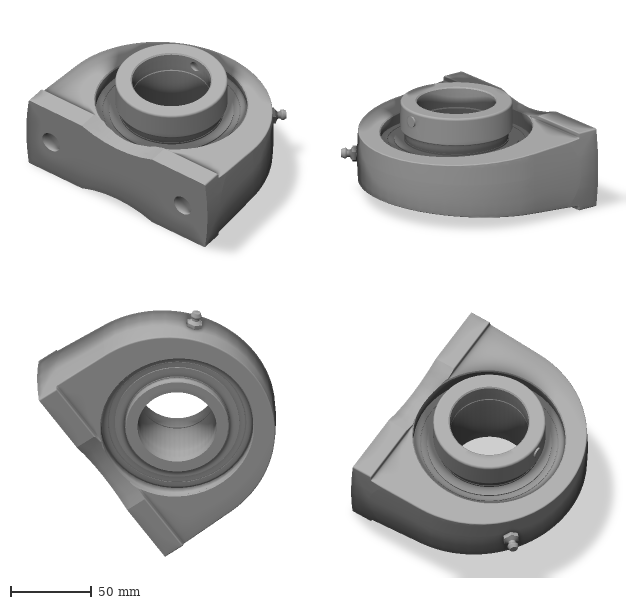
import cadquery as cq
import math


axis_height = 57.15
total_depth = 117.0
base_width = 140.0
base_height = 51.2
base_thickness = 13.6
base_side_radius = 175.0
base_corner_fillet = 1.0
base_back_fillet = 0.7
arch_radius = 69.0
arch_side_radius = 218.0
arch_edge_fillet = 0.8
flank_angle = 1.61
flank_overlap = 17.0
arch_top_height = 31.2
face_taper_angle = 3.65
step_fillet = 0.7
scallop_half_width = 27.2
scallop_depth = 5.1
bolt_spacing = 101.6
bolt_hole_diameter = 13.39
bolt_hole_depth = 22.0
drill_point_angle = 118.0
bore_diameter = 94.74
bore_chamfer = 0.75

ring_half_width = 11.9
ring_chamfer = 1.1
ring_chamfer_height = 0.4
ring_bore_diameter = 76.2
seal_outer_diameter = 86.2
seal_seat_depth = 3.0
seal_groove_width = 0.7
seal_groove_depth = 0.4
seal_step_diameter = 77.47
seal_step_height = 0.8

shaft_diameter = 49.21
shoulder_diameter = 65.28
shoulder_half_width = 13.7
inner_ring_diameter = 64.52
inner_ring_bottom = -18.7
inner_ring_chamfer = 0.6
nose_bore_chamfer = 0.9
nose_diameter = 59.38
nose_top = 24.7
collar_diameter = 69.9
collar_top = 37.79
collar_bottom = 19.8
collar_top_fillet = 1.4
collar_bottom_fillet = 0.9
collar_bore_chamfer = 0.8

screw_diameter = 6.78
screw_height = 31.4
screw_inner_end = 30.0
screw_outer_end = 36.0

nipple_angle = 45.0
nipple_shank_diameter = 6.0
nipple_inner_end = 55.0
hex_start = 62.4
hex_end = 65.0
hex_across_flats = 9.0
hex_turn = 30.0
spot_face_diameter = 10.6
nipple_cone_end = 66.6
nipple_neck_end = 68.2
nipple_neck_diameter = 4.5
nipple_head_start = 69.2
nipple_head_end = 69.9
nipple_head_diameter = 6.78
nipple_tip = 72.1
nipple_tip_diameter = 5.0

base_face_y = -axis_height
base_back_y = base_face_y + base_thickness
arch_top_y = total_depth - axis_height
arch_centre_y = arch_top_y - arch_radius
half_height = base_height / 2
half_width = base_width / 2
taper = math.radians(face_taper_angle)
half_right_angle = math.pi / 4
seat_half_width = ring_half_width - ring_chamfer_height
seat_radius = math.hypot(bore_diameter / 2, seat_half_width)


def turned(points):
    """Solid of revolution about Z from (radius, height) points."""
    return cq.Workplane("XZ").polyline(points).close().revolve(360, (0, 0, 0), (0, 1, 0))


def crown_drop(radius, height):
    """How far an arc of this radius falls back at this height from its middle."""
    return radius - math.sqrt(radius**2 - height**2)


def crowned_block():
    """Full-length block with the crowned ends and rounded corners of the base."""
    edge = half_width - crown_drop(base_side_radius, half_height)
    block = (
        cq.Workplane("XZ", origin=(0, base_face_y, 0))
        .moveTo(-edge, -half_height)
        .lineTo(edge, -half_height)
        .threePointArc((half_width, 0), (edge, half_height))
        .lineTo(-edge, half_height)
        .threePointArc((-half_width, 0), (-edge, -half_height))
        .close()
        .extrude(-total_depth)
    )
    return block.edges("|Y").fillet(base_corner_fillet)


def face_height(y):
    """Height of the tapered upper face of the arch at this distance along Y."""
    return arch_top_height / 2 + math.tan(taper) * (arch_top_y - y)


def crowned_section(plane, inner):
    """Section of the arch from `inner` out to the crowned rim."""
    edge = arch_radius - crown_drop(arch_side_radius, half_height)
    return (
        cq.Workplane(plane)
        .moveTo(inner, -half_height)
        .lineTo(edge, -half_height)
        .threePointArc((arch_radius, 0), (edge, half_height))
        .lineTo(inner, half_height)
        .close()
    )


def arch_body():
    centre = (0, arch_centre_y, 0)
    arch = crowned_section(cq.Plane.XZ(origin=centre), 0).revolve(360, (0, 0, 0), (0, 1, 0))
    angle = math.radians(flank_angle)
    flank_plane = cq.Plane(
        origin=centre,
        xDir=(math.cos(angle), math.sin(angle), 0),
        normal=(math.sin(angle), -math.cos(angle), 0),
    )
    flank = crowned_section(flank_plane, -flank_overlap).extrude(axis_height)
    outline = arch.union(flank).union(flank.mirror("YZ"))

    wedge = (
        cq.Workplane("YZ")
        .polyline([
            (base_face_y, -face_height(base_face_y)),
            (arch_top_y, -face_height(arch_top_y)),
            (arch_top_y, face_height(arch_top_y)),
            (base_face_y, face_height(base_face_y)),
        ])
        .close()
        .extrude(base_width, both=True)
    )
    body = outline.intersect(wedge)
    return body.faces("<Z or >Z").edges("not(<Y)").fillet(arch_edge_fillet)


def base_half():
    """Upper half of the base, rounded at its back and filleted into the face of the arch."""
    round_y = base_back_y - base_back_fillet
    round_z = half_height - base_back_fillet
    fillet_y = base_back_y + step_fillet
    fillet_z = face_height(fillet_y) + step_fillet / math.cos(taper)
    middle = half_right_angle + taper / 2
    fillet_middle = (fillet_y - step_fillet * math.sin(middle), fillet_z - step_fillet * math.cos(middle))
    fillet_end = (fillet_y - step_fillet * math.sin(taper), fillet_z - step_fillet * math.cos(taper))
    round_middle = (
        round_y + base_back_fillet * math.sin(half_right_angle),
        round_z + base_back_fillet * math.cos(half_right_angle),
    )
    return (
        cq.Workplane("YZ")
        .moveTo(base_face_y, 0)
        .lineTo(base_face_y, half_height)
        .lineTo(round_y, half_height)
        .threePointArc(round_middle, (base_back_y, round_z))
        .lineTo(base_back_y, fillet_z)
        .threePointArc(fillet_middle, fillet_end)
        .lineTo(base_back_y, 0)
        .close()
        .extrude(base_width, both=True)
    )


def scallop(side):
    """Shallow arc across the upper (1) or lower (-1) side of the base."""
    edge_z = side * half_height
    return (
        cq.Workplane("XZ", origin=(0, base_face_y, 0))
        .moveTo(-scallop_half_width, edge_z)
        .threePointArc((0, edge_z - side * scallop_depth), (scallop_half_width, edge_z))
        .close()
        .extrude(-base_thickness)
    )


def bolt_hole(x):
    radius = bolt_hole_diameter / 2
    point_depth = radius / math.tan(math.radians(drill_point_angle / 2))
    return (
        cq.Workplane("XY")
        .polyline([
            (0, 0),
            (radius, 0),
            (radius, bolt_hole_depth),
            (0, bolt_hole_depth + point_depth),
        ])
        .close()
        .revolve(360, (0, 0, 0), (0, 1, 0))
        .translate((x, base_face_y, 0))
    )


def bore_mouth():
    """Cutter for the chamfer of the bore, square to the tapered upper face."""
    radius = bore_diameter / 2
    cutter = turned([
        (0, -bore_chamfer),
        (radius, -bore_chamfer),
        (radius + bore_chamfer, 0),
        (radius + bore_chamfer, half_height),
        (0, half_height),
    ])
    cutter = cutter.rotate((0, 0, 0), (1, 0, 0), -face_taper_angle)
    return cutter.translate((0, 0, face_height(0)))


def place_nipple(shape):
    """Lay a shape built along Z on the radial line of the grease nipple."""
    return shape.rotate((0, 0, 0), (0, 1, 0), 90).rotate((0, 0, 0), (0, 0, 1), nipple_angle)


def make_housing():
    base = base_half().union(base_half().mirror("XY"))
    housing = arch_body().union(base).intersect(crowned_block())
    for side in (-1, 1):
        housing = housing.cut(scallop(side))
        housing = housing.cut(bolt_hole(side * bolt_spacing / 2))
    housing = housing.cut(cq.Workplane("XY").circle(bore_diameter / 2).extrude(half_height, both=True))
    mouth = bore_mouth()
    housing = housing.cut(mouth).cut(mouth.mirror("XY"))
    housing = housing.cut(cq.Workplane("XY").sphere(seat_radius))
    shank_hole = cq.Workplane("XY").circle(nipple_shank_diameter / 2).extrude(hex_end - nipple_inner_end)
    housing = housing.cut(place_nipple(shank_hole.translate((0, 0, nipple_inner_end))))
    spot_face = cq.Workplane("XY").circle(spot_face_diameter / 2).extrude(hex_end - hex_start)
    housing = housing.cut(place_nipple(spot_face.translate((0, 0, hex_start))))
    return housing


def make_outer_ring():
    ring = cq.Workplane("XY").sphere(seat_radius)
    face_radius = bore_diameter / 2 - ring_chamfer
    ring = ring.intersect(turned([
        (0, -ring_half_width),
        (face_radius, -ring_half_width),
        (bore_diameter / 2, -seat_half_width),
        (seat_radius + ring_chamfer, -seat_half_width),
        (seat_radius + ring_chamfer, seat_half_width),
        (bore_diameter / 2, seat_half_width),
        (face_radius, ring_half_width),
        (0, ring_half_width),
    ]))
    ring = ring.cut(cq.Workplane("XY").circle(ring_bore_diameter / 2).extrude(ring_half_width, both=True))
    seat = cq.Workplane("XY", origin=(0, 0, ring_half_width - seal_seat_depth))
    seat = seat.circle(seal_outer_diameter / 2).extrude(seal_seat_depth)
    return ring.cut(seat).cut(seat.mirror("XY"))


def make_seal():
    """Upper seal: a disc with a shallow rim groove and a raised inner part."""
    outer = seal_outer_diameter / 2
    groove_floor = ring_half_width - seal_groove_depth
    inner = shoulder_diameter / 2
    step = seal_step_diameter / 2
    return turned([
        (inner, ring_half_width - seal_seat_depth),
        (outer, ring_half_width - seal_seat_depth),
        (outer, groove_floor),
        (outer - seal_groove_width, groove_floor),
        (outer - seal_groove_width, ring_half_width),
        (step, ring_half_width),
        (step, ring_half_width + seal_step_height),
        (inner, ring_half_width + seal_step_height),
    ])


def make_inner_ring():
    bore = shaft_diameter / 2
    outer = inner_ring_diameter / 2
    shoulder = shoulder_diameter / 2
    nose = nose_diameter / 2
    return turned([
        (bore, inner_ring_bottom),
        (outer - inner_ring_chamfer, inner_ring_bottom),
        (outer, inner_ring_bottom + inner_ring_chamfer),
        (outer, -shoulder_half_width),
        (shoulder, -shoulder_half_width),
        (shoulder, shoulder_half_width),
        (outer, shoulder_half_width),
        (outer, collar_bottom),
        (nose, collar_bottom),
        (nose, nose_top),
        (bore + nose_bore_chamfer, nose_top),
        (bore, nose_top - nose_bore_chamfer),
    ])


def make_collar():
    collar = cq.Workplane("XY", origin=(0, 0, collar_bottom))
    collar = collar.circle(collar_diameter / 2).extrude(collar_top - collar_bottom)
    collar = collar.faces(">Z").edges().fillet(collar_top_fillet)
    collar = collar.faces("<Z").edges().fillet(collar_bottom_fillet)
    collar = collar.cut(turned([
        (0, collar_bottom),
        (nose_diameter / 2, collar_bottom),
        (nose_diameter / 2, nose_top),
        (shaft_diameter / 2, nose_top),
        (shaft_diameter / 2, collar_top - collar_bore_chamfer),
        (shaft_diameter / 2 + collar_bore_chamfer, collar_top),
        (0, collar_top),
    ]))
    screw_hole = cq.Workplane("XZ", origin=(0, 0, screw_height))
    screw_hole = screw_hole.circle(screw_diameter / 2).extrude(-collar_diameter / 2)
    return collar.cut(screw_hole)


def make_set_screw():
    screw = cq.Workplane("XZ", origin=(0, screw_inner_end, screw_height))
    return screw.circle(screw_diameter / 2).extrude(screw_inner_end - screw_outer_end)


def make_nipple():
    hexagon = cq.Workplane("XY", origin=(0, 0, hex_start))
    hexagon = hexagon.polygon(6, hex_across_flats, circumscribed=True).extrude(hex_end - hex_start)
    hexagon = hexagon.rotate((0, 0, 0), (0, 0, 1), hex_turn)
    stem = turned([
        (0, nipple_inner_end),
        (nipple_shank_diameter / 2, nipple_inner_end),
        (nipple_shank_diameter / 2, hex_end),
        (hex_across_flats / 2, hex_end),
        (nipple_neck_diameter / 2, nipple_cone_end),
        (nipple_neck_diameter / 2, nipple_neck_end),
        (nipple_head_diameter / 2, nipple_head_start),
        (nipple_head_diameter / 2, nipple_head_end),
        (nipple_tip_diameter / 2, nipple_tip),
        (0, nipple_tip),
    ])
    return place_nipple(hexagon.union(stem))


housing = make_housing()
outer_ring = make_outer_ring()
upper_seal = make_seal()
lower_seal = upper_seal.mirror("XY")
inner_ring = make_inner_ring()
collar = make_collar()
set_screw = make_set_screw()
nipple = make_nipple()

result = cq.Compound.makeCompound([
    housing.val(),
    outer_ring.val(),
    upper_seal.val(),
    lower_seal.val(),
    inner_ring.val(),
    collar.val(),
    set_screw.val(),
    nipple.val(),
])